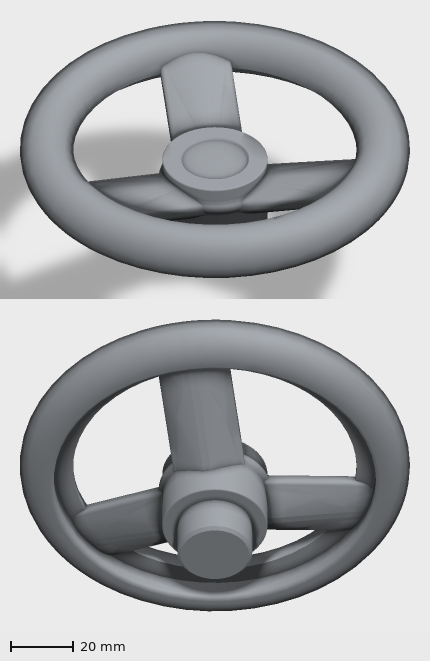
import cadquery as cq
import math

TOTAL_HEIGHT = 49.0
OUTER_DIAMETER = 125.0

RIM_SECTION_DIAMETER = 17.1
RIM_CENTRE_RADIUS = (OUTER_DIAMETER - RIM_SECTION_DIAMETER) / 2
RIM_CENTRE_Z = TOTAL_HEIGHT - RIM_SECTION_DIAMETER / 2
RIM_WALL_DIAMETER = 103.2
RIM_WALL_FILLET = 1.5
RIM_LEDGE_DROP = 1.5

INSERT_DIAMETER = 24.0
INSERT_HEIGHT = 12.7
INSERT_CHAMFER = 1.0

HUB_DIAMETER = 33.7
HUB_RADIUS = HUB_DIAMETER / 2
HUB_TOP_Z = 36.9
HUB_EDGE_FILLET = 0.5

RECESS_TOP_DIAMETER = 22.0
RECESS_FLOOR_DIAMETER = 20.7
RECESS_DEPTH = 0.6
RECESS_DOME_HEIGHT = 0.4

COLLAR_RADIUS = 18.0
COLLAR_CENTRE_Z = 29.4
COLLAR_HALF_HEIGHT = 3.0

SPOKE_COUNT = 3
SPOKE_HALF_WIDTH = 11.5
SPOKE_SIDE_ROUND = 1.0
SPOKE_SIDE_SLOPE = 0.35
SPOKE_SIDE_AXIS_Z = 24.0
SPOKE_SIDE_FLAT = 1.6
SPOKE_ROUND_HEIGHT = 1.5
SPOKE_ARCH_RADIUS = 30.0
KEEL_HALF_WIDTH = 1.2
KEEL_SLOPE = 0.47
KEEL_AXIS_Z = 13.4
UNDERSIDE_BULGE = 0.7


def make_rim():
    """The torus profile, closed on its inner lower side by the fillet, wall and ledge."""
    section_radius = RIM_SECTION_DIAMETER / 2
    wall_radius = RIM_WALL_DIAMETER / 2
    ledge_z = RIM_CENTRE_Z - RIM_LEDGE_DROP
    ledge_radius = RIM_CENTRE_RADIUS - math.sqrt(section_radius**2 - RIM_LEDGE_DROP**2)

    fillet_offset = wall_radius + RIM_WALL_FILLET - RIM_CENTRE_RADIUS
    centre_distance = section_radius - RIM_WALL_FILLET
    fillet_drop = math.sqrt(centre_distance**2 - fillet_offset**2)
    touch_scale = section_radius / centre_distance
    fillet_top = (wall_radius, RIM_CENTRE_Z - fillet_drop)
    fillet_foot = (
        RIM_CENTRE_RADIUS + fillet_offset * touch_scale,
        RIM_CENTRE_Z - fillet_drop * touch_scale,
    )
    return (
        cq.Workplane("XZ")
        .moveTo(*fillet_foot)
        .threePointArc((OUTER_DIAMETER / 2, RIM_CENTRE_Z), (ledge_radius, ledge_z))
        .lineTo(wall_radius, ledge_z)
        .lineTo(*fillet_top)
        .radiusArc(fillet_foot, -RIM_WALL_FILLET)
        .close()
        .revolve(360, (0, 0), (0, 1))
    )


def make_hub_blank():
    return (
        cq.Workplane("XY")
        .workplane(offset=INSERT_HEIGHT)
        .circle(HUB_RADIUS)
        .extrude(HUB_TOP_Z - INSERT_HEIGHT)
        .edges("%CIRCLE")
        .fillet(HUB_EDGE_FILLET)
    )


def make_collar():
    """A ring whose outer profile swells out of the hub through two mirrored S-curves."""
    middle_radius = (HUB_RADIUS + COLLAR_RADIUS) / 2
    rise = middle_radius - HUB_RADIUS
    run = COLLAR_HALF_HEIGHT / 2
    curve_radius = (rise**2 + run**2) / (2 * rise)
    low_z = COLLAR_CENTRE_Z - COLLAR_HALF_HEIGHT
    high_z = COLLAR_CENTRE_Z + COLLAR_HALF_HEIGHT
    return (
        cq.Workplane("XZ")
        .moveTo(0, low_z)
        .lineTo(HUB_RADIUS, low_z)
        .radiusArc((middle_radius, low_z + run), curve_radius)
        .radiusArc((COLLAR_RADIUS, COLLAR_CENTRE_Z), -curve_radius)
        .radiusArc((middle_radius, high_z - run), -curve_radius)
        .radiusArc((HUB_RADIUS, high_z), curve_radius)
        .lineTo(0, high_z)
        .close()
        .revolve(360, (0, 0), (0, 1))
    )


def draw_spoke_section(plane, distance):
    """The spoke's closed outline in a vertical plane at a distance from the wheel axis."""
    side_z = SPOKE_SIDE_AXIS_Z + SPOKE_SIDE_SLOPE * distance
    keel_z = KEEL_AXIS_Z + KEEL_SLOPE * distance
    side = SPOKE_HALF_WIDTH
    shoulder = side - SPOKE_SIDE_ROUND
    flat_top = side_z + SPOKE_SIDE_FLAT / 2
    flat_bottom = side_z - SPOKE_SIDE_FLAT / 2
    shoulder_top = flat_top + SPOKE_ROUND_HEIGHT
    shoulder_bottom = flat_bottom - SPOKE_ROUND_HEIGHT
    arch_height = SPOKE_ARCH_RADIUS - math.sqrt(SPOKE_ARCH_RADIUS**2 - shoulder**2)
    under_y = (shoulder + KEEL_HALF_WIDTH) / 2
    under_z = (shoulder_bottom + keel_z) / 2 - UNDERSIDE_BULGE
    return (
        plane.moveTo(-shoulder, shoulder_top)
        .threePointArc((0, shoulder_top + arch_height), (shoulder, shoulder_top))
        .radiusArc((side, flat_top), SPOKE_ROUND_HEIGHT)
        .lineTo(side, flat_bottom)
        .radiusArc((shoulder, shoulder_bottom), SPOKE_ROUND_HEIGHT)
        .threePointArc((under_y, under_z), (KEEL_HALF_WIDTH, keel_z))
        .lineTo(-KEEL_HALF_WIDTH, keel_z)
        .threePointArc((-under_y, under_z), (-shoulder, shoulder_bottom))
        .radiusArc((-side, flat_bottom), SPOKE_ROUND_HEIGHT)
        .lineTo(-side, flat_top)
        .radiusArc((-shoulder, shoulder_top), SPOKE_ROUND_HEIGHT)
        .close()
    )


def make_spoke():
    """A ruled solid from the wheel axis to the middle of the rim section."""
    inner_section = draw_spoke_section(cq.Workplane("YZ"), 0)
    outer_plane = inner_section.workplane(offset=RIM_CENTRE_RADIUS)
    return draw_spoke_section(outer_plane, RIM_CENTRE_RADIUS).loft(ruled=True)


def make_recess():
    """The cutter for the hub's top recess: a tapered disc less its domed floor."""
    floor_z = HUB_TOP_Z - RECESS_DEPTH
    floor_radius = RECESS_FLOOR_DIAMETER / 2
    dome_z = floor_z + RECESS_DOME_HEIGHT
    dome_radius = (floor_radius**2 + RECESS_DOME_HEIGHT**2) / (2 * RECESS_DOME_HEIGHT)
    return (
        cq.Workplane("XZ")
        .moveTo(0, dome_z)
        .radiusArc((floor_radius, floor_z), dome_radius)
        .lineTo(RECESS_TOP_DIAMETER / 2, HUB_TOP_Z)
        .lineTo(0, HUB_TOP_Z)
        .close()
        .revolve(360, (0, 0), (0, 1))
    )


def make_wheel():
    wheel = make_hub_blank().union(make_collar())
    spoke = make_spoke()
    for index in range(SPOKE_COUNT):
        angle = 360 / SPOKE_COUNT * index
        wheel = wheel.union(spoke.rotate((0, 0, 0), (0, 0, 1), angle))
    return wheel.union(make_rim()).cut(make_recess())


def make_insert():
    return (
        cq.Workplane("XY")
        .circle(INSERT_DIAMETER / 2)
        .extrude(INSERT_HEIGHT)
        .faces("<Z")
        .chamfer(INSERT_CHAMFER)
    )


wheel = make_wheel()
insert = make_insert()

result = cq.Compound.makeCompound([*wheel.solids().vals(), insert.val()])